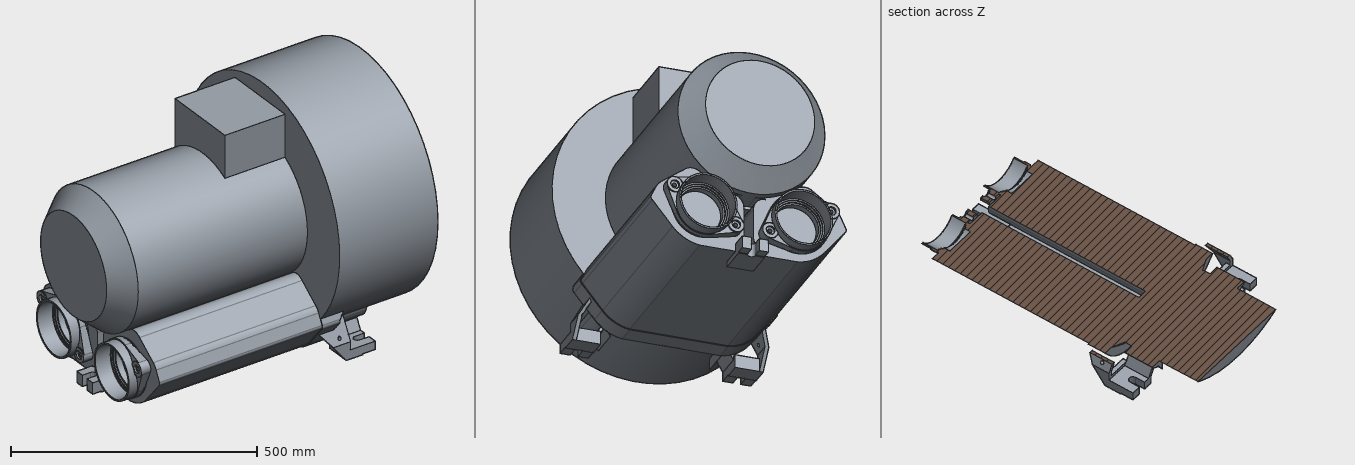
import cadquery as cq
import math


HOUSING_RADIUS = 275.0
HOUSING_DEPTH = 242.5
OVERALL_LENGTH = 709
OVERALL_HEIGHT = 576.0
MOTOR_RADIUS = 159.5
MOTOR_END_RADIUS = 118.5
MOTOR_TAPER_LENGTH = 49.5
MOTOR_LENGTH = OVERALL_LENGTH - HOUSING_DEPTH
FLOOR_Z = HOUSING_RADIUS - OVERALL_HEIGHT

BOX_WIDTH = 179.0
BOX_LENGTH = 148.0
BOX_TOP_Z = 239.5
BOX_CENTER_X = -10.0

SILENCER_LENGTH = 400.5
SILENCER_BOTTOM_Z = -288.5
SHOULDER_INNER = (-103.5, -123.0)
SHOULDER_CREST = (-122.0, -115.5)
SHOULDER_OUTER = (-140.5, -123.0)
CHEEK_UPPER = (-189.0, -158.0)
CHEEK_LOWER = (-200.0, -170)
TIP_UPPER = (-211.0, -194.0)
TIP_LOWER = (-209.0, -203.5)
BELLY_UPPER = (-165.0, -257.0)
BELLY_LOWER = (-106, SILENCER_BOTTOM_Z)

COLLAR_STEP = 2.0
COLLAR_TIP_DEPTH = 43.0
COLLAR_TIP_RADIUS = 289.0
COLLAR_DEPTH = 56.0

GAP_HALF_WIDTH = 10.5
GAP_CORNER_RADIUS = 26.0
GAP_TOP_Z = -159.0
GAP_BOTTOM_Z = -276.5
WEB_BOTTOM_Z = -166.0
WEB_SETBACK = 42.5
BRIDGE_TOP_Z = -274.0

PORT_X = -103.5
PORT_Z = -208.0
GASKET_RADIUS = 62.5
GASKET_THICKNESS = 4.0
FLANGE_RADIUS = 64.5
FLANGE_RIDGE_Y = -426.0
FLANGE_EDGE_Y = -417.5
RIDGE_HALF_WIDTH = 10.5
ROOF_HALF_WIDTH = 71
EAR_RADIUS = 17.0
EAR_FRONT_Y = -428.0
EAR_DISTANCE = 74.5
EAR_ANGLE = 27
SCREW_HOLE_RADIUS = 4.0
SCREW_RECESS_RADIUS = 9.0
SCREW_RECESS_DEPTH = 4.0
NOZZLE_RADIUS = 62.5
NOZZLE_FRONT_Y = -444.0
BORE_STEPS = [(59.0, -407.0), (55.0, -404), (52.0, -400.5), (48.0, -386.0)]

FOOT_TOP_Z = -271.5
SLOT_WIDTH = 17.0
SOLE_RELIEF = 2.0
FRONT_FOOT_WIDTH = 57
FRONT_FOOT_BACK_Y = -352.0
FRONT_FOOT_FRONT_Y = -439.0
FRONT_FOOT_SOLE_Y = -417.0
FRONT_SLOT_DEPTH = 28.5

PLATE_THICKNESS = 8.5
PLATE_LEAN = 0.55
PLATE_OUTER_X = -207.0
PLATE_BEND_Z = -259.5
PLATE_TOP_Z = -210.5
PLATE_BACK_Y = 74.0
PLATE_TOE_Y = 63.0
PLATE_NOSE_Y = 6.5
PLATE_NOSE_Z = -228.0
PLATE_HOLE_RADIUS = 3.5
PLATE_HOLE_Y = 51.0
PLATE_HOLE_Z = -247.5
REAR_FOOT_INNER_X = -146.0
REAR_FOOT_BACK_Y = 135
REAR_FOOT_SOLE_Y = 104.0
REAR_PAD_TOP_Z = -278.5
REAR_SLOT_DEPTH = 32.0
RIB_TOP_Z = -254.5

LUG_BACK_Y = 144.0
LUG_OUTER_X = -164.5
LUG_TOP_Z = -219.0
LUG_BEND_X = -160.0
LUG_BEND_Z = -231.0
LUG_ROUND_END_X = -133.0
LUG_BOTTOM_X = -120.5
LUG_BOTTOM_Z = -273.0


def box(x_min, x_max, y_min, y_max, z_min, z_max):
    return cq.Workplane("XY").box(
        x_max - x_min, y_max - y_min, z_max - z_min, centered=False
    ).translate((x_min, y_min, z_min))


def section(y):
    """Workplane across the Y axis; local axes are X and Z, and it extrudes toward -Y."""
    return cq.Workplane("XZ", origin=(0, y, 0))


def cylinder(x, z, radius, y_back, y_front):
    return section(y_back).center(x, z).circle(radius).extrude(y_back - y_front)


def both_sides(body):
    return body.union(body.mirror("YZ"))


def turned(points):
    """Solid of revolution about the Y axis from (radius, y) points."""
    return cq.Workplane("XY").polyline(points).close().revolve(360, (0, 0), (0, 1))


def housing_and_motor():
    return turned([
        (0, HOUSING_DEPTH),
        (HOUSING_RADIUS, HOUSING_DEPTH),
        (HOUSING_RADIUS, 0),
        (MOTOR_RADIUS, 0),
        (MOTOR_RADIUS, MOTOR_TAPER_LENGTH - MOTOR_LENGTH),
        (MOTOR_END_RADIUS, -MOTOR_LENGTH),
        (0, -MOTOR_LENGTH),
    ])


def terminal_box():
    left = BOX_CENTER_X - BOX_WIDTH / 2
    return box(left, left + BOX_WIDTH, -BOX_LENGTH, 0, 0, BOX_TOP_Z)


def silencer_outline(y):
    """Left half of the silencer section; its upper edge lies inside the motor."""
    return (
        section(y)
        .moveTo(0, SHOULDER_INNER[1])
        .lineTo(*SHOULDER_INNER)
        .threePointArc(SHOULDER_CREST, SHOULDER_OUTER)
        .lineTo(*CHEEK_UPPER)
        .tangentArcPoint(CHEEK_LOWER, relative=False)
        .lineTo(*TIP_UPPER)
        .tangentArcPoint(TIP_LOWER, relative=False)
        .lineTo(*BELLY_UPPER)
        .tangentArcPoint(BELLY_LOWER, relative=False)
        .lineTo(0, SILENCER_BOTTOM_Z)
        .close()
    )


def lobe_gap():
    """Gap between the lobes, flared by a quarter round at each lobe corner."""
    wide = GAP_HALF_WIDTH + GAP_CORNER_RADIUS
    upper = GAP_TOP_Z - GAP_CORNER_RADIUS
    lower = GAP_BOTTOM_Z + GAP_CORNER_RADIUS
    diagonal = GAP_CORNER_RADIUS * math.sqrt(0.5)
    mid_x = wide - diagonal
    return (
        section(0)
        .moveTo(-wide, GAP_TOP_Z)
        .lineTo(wide, GAP_TOP_Z)
        .threePointArc((mid_x, upper + diagonal), (GAP_HALF_WIDTH, upper))
        .lineTo(GAP_HALF_WIDTH, lower)
        .threePointArc((mid_x, lower - diagonal), (wide, GAP_BOTTOM_Z))
        .lineTo(-wide, GAP_BOTTOM_Z)
        .threePointArc((-mid_x, lower - diagonal), (-GAP_HALF_WIDTH, lower))
        .lineTo(-GAP_HALF_WIDTH, upper)
        .threePointArc((-mid_x, upper + diagonal), (-wide, GAP_TOP_Z))
        .close()
        .extrude(SILENCER_LENGTH)
    )


def silencer():
    body = both_sides(silencer_outline(0).extrude(SILENCER_LENGTH))
    wide = GAP_HALF_WIDTH + GAP_CORNER_RADIUS
    web = box(-wide, wide, WEB_SETBACK - SILENCER_LENGTH, 0, WEB_BOTTOM_Z, SHOULDER_INNER[1])
    bridge = box(-wide, wide, -SILENCER_LENGTH, 0, SILENCER_BOTTOM_Z, BRIDGE_TOP_Z)
    return body.cut(lobe_gap()).union(web).union(bridge)


def collar():
    """Slightly enlarged silencer outline behind the housing's front face, bevelled at the rear."""
    body = both_sides(silencer_outline(COLLAR_DEPTH).offset2D(COLLAR_STEP).extrude(COLLAR_DEPTH))
    reach = 2 * HOUSING_RADIUS
    envelope = turned([
        (0, 0),
        (reach, 0),
        (reach, COLLAR_TIP_DEPTH),
        (COLLAR_TIP_RADIUS, COLLAR_TIP_DEPTH),
        (HOUSING_RADIUS, COLLAR_DEPTH),
        (0, COLLAR_DEPTH),
    ])
    return body.intersect(envelope)


def flange_plate(y_back, y_front):
    """Round plate drawn out by tangent lines to an ear on either side."""
    lean = math.acos((FLANGE_RADIUS - EAR_RADIUS) / EAR_DISTANCE)
    cos_lean = math.cos(lean)
    sin_lean = math.sin(lean)
    disc_x = FLANGE_RADIUS * cos_lean
    disc_z = FLANGE_RADIUS * sin_lean
    ear_x = EAR_DISTANCE + EAR_RADIUS * cos_lean
    ear_z = EAR_RADIUS * sin_lean
    tip_x = EAR_DISTANCE + EAR_RADIUS
    return (
        section(y_back)
        .moveTo(disc_x, disc_z)
        .lineTo(ear_x, ear_z)
        .threePointArc((tip_x, 0), (ear_x, -ear_z))
        .lineTo(disc_x, -disc_z)
        .threePointArc((0, -FLANGE_RADIUS), (-disc_x, -disc_z))
        .lineTo(-ear_x, -ear_z)
        .threePointArc((-tip_x, 0), (-ear_x, ear_z))
        .lineTo(-disc_x, disc_z)
        .threePointArc((0, FLANGE_RADIUS), (disc_x, disc_z))
        .close()
        .extrude(y_back - y_front)
    )


def flange_roof(y_back):
    """Prism whose front falls away on both sides of the line through the ears."""
    reach = EAR_DISTANCE + EAR_RADIUS
    return (
        cq.Workplane("YZ", origin=(-reach, 0, 0))
        .moveTo(y_back, -ROOF_HALF_WIDTH)
        .lineTo(FLANGE_EDGE_Y, -ROOF_HALF_WIDTH)
        .lineTo(FLANGE_RIDGE_Y, -RIDGE_HALF_WIDTH)
        .lineTo(FLANGE_RIDGE_Y, RIDGE_HALF_WIDTH)
        .lineTo(FLANGE_EDGE_Y, ROOF_HALF_WIDTH)
        .lineTo(y_back, ROOF_HALF_WIDTH)
        .close()
        .extrude(2 * reach)
    )


def port():
    """One port, built about its own axis with its ears along X, then turned into place."""
    seat_y = -SILENCER_LENGTH
    plate_y = seat_y - GASKET_THICKNESS
    body = cylinder(0, 0, GASKET_RADIUS, seat_y, plate_y)
    body = body.union(flange_plate(plate_y, FLANGE_RIDGE_Y).intersect(flange_roof(plate_y)))
    body = body.union(cylinder(0, 0, NOZZLE_RADIUS, plate_y, NOZZLE_FRONT_Y))
    recess_y = EAR_FRONT_Y + SCREW_RECESS_DEPTH
    for x in (-EAR_DISTANCE, EAR_DISTANCE):
        body = body.union(cylinder(x, 0, EAR_RADIUS, plate_y, EAR_FRONT_Y))
        body = body.cut(cylinder(x, 0, SCREW_RECESS_RADIUS, recess_y, EAR_FRONT_Y))
        body = body.cut(cylinder(x, 0, SCREW_HOLE_RADIUS, plate_y, EAR_FRONT_Y))
    return body.rotate((0, 0, 0), (0, 1, 0), EAR_ANGLE).translate((PORT_X, 0, PORT_Z))


def port_bore():
    """Stepped cutter for a port, running through the nozzle into the silencer."""
    bore = cq.Workplane("XY")
    for radius, floor_y in BORE_STEPS:
        bore = bore.union(cylinder(PORT_X, PORT_Z, radius, floor_y, NOZZLE_FRONT_Y))
    return bore


def open_slot(x, y_open, y_center):
    """Cutter for a round-ended slot running from y_center out through the edge at y_open."""
    half = SLOT_WIDTH / 2
    y_min = min(y_open, y_center)
    y_max = max(y_open, y_center)
    straight = box(x - half, x + half, y_min, y_max, FLOOR_Z, FOOT_TOP_Z)
    end = cq.Workplane("XY", origin=(x, y_center, FLOOR_Z)).circle(half)
    return straight.union(end.extrude(FOOT_TOP_Z - FLOOR_Z))


def front_foot():
    half = FRONT_FOOT_WIDTH / 2
    foot = box(-half, half, FRONT_FOOT_FRONT_Y, FRONT_FOOT_BACK_Y, FLOOR_Z, FOOT_TOP_Z)
    relief = box(-half, half, FRONT_FOOT_FRONT_Y, FRONT_FOOT_SOLE_Y, FLOOR_Z, FLOOR_Z + SOLE_RELIEF)
    slot_center_y = FRONT_FOOT_FRONT_Y + FRONT_SLOT_DEPTH - SLOT_WIDTH / 2
    return foot.cut(relief).cut(open_slot(0, FRONT_FOOT_FRONT_Y, slot_center_y))


def side_plate():
    """Upright plate, bent inward above the foot, with a raked front edge."""
    lean_run = PLATE_LEAN * (PLATE_TOP_Z - PLATE_BEND_Z)
    plate = (
        section(PLATE_BACK_Y)
        .moveTo(PLATE_OUTER_X, FLOOR_Z)
        .lineTo(PLATE_OUTER_X, PLATE_BEND_Z)
        .lineTo(PLATE_OUTER_X + lean_run, PLATE_TOP_Z)
        .lineTo(PLATE_OUTER_X + lean_run + PLATE_THICKNESS, PLATE_TOP_Z)
        .lineTo(PLATE_OUTER_X + PLATE_THICKNESS, PLATE_BEND_Z)
        .lineTo(PLATE_OUTER_X + PLATE_THICKNESS, FLOOR_Z)
        .close()
        .extrude(PLATE_BACK_Y - PLATE_NOSE_Y)
    )
    side_outline = (
        cq.Workplane("YZ", origin=(PLATE_OUTER_X, 0, 0))
        .moveTo(PLATE_TOE_Y, FLOOR_Z)
        .lineTo(PLATE_NOSE_Y, PLATE_NOSE_Z)
        .lineTo(PLATE_NOSE_Y, PLATE_TOP_Z)
        .lineTo(PLATE_BACK_Y, PLATE_TOP_Z)
        .lineTo(PLATE_BACK_Y, FLOOR_Z)
        .close()
        .extrude(lean_run + PLATE_THICKNESS)
    )
    hole = cq.Workplane("YZ", origin=(PLATE_OUTER_X, PLATE_HOLE_Y, PLATE_HOLE_Z)).circle(PLATE_HOLE_RADIUS)
    return plate.intersect(side_outline).cut(hole.extrude(lean_run))


def rear_foot():
    front_wall = box(PLATE_OUTER_X, REAR_FOOT_INNER_X, PLATE_TOE_Y, PLATE_BACK_Y, FLOOR_Z, FOOT_TOP_Z)
    pad = box(PLATE_OUTER_X, REAR_FOOT_INNER_X, PLATE_TOE_Y, REAR_FOOT_BACK_Y, FLOOR_Z, REAR_PAD_TOP_Z)
    relief = box(
        PLATE_OUTER_X, REAR_FOOT_INNER_X,
        REAR_FOOT_SOLE_Y, REAR_FOOT_BACK_Y,
        FLOOR_Z, FLOOR_Z + SOLE_RELIEF,
    )
    slot_x = (PLATE_OUTER_X + REAR_FOOT_INNER_X) / 2
    slot = open_slot(slot_x, REAR_FOOT_BACK_Y, REAR_FOOT_BACK_Y - REAR_SLOT_DEPTH + SLOT_WIDTH / 2)
    pad = pad.cut(relief).cut(slot)
    rib_outer_x = REAR_FOOT_INNER_X - PLATE_THICKNESS
    rib_run = PLATE_LEAN * (RIB_TOP_Z - REAR_PAD_TOP_Z)
    rib = (
        section(REAR_FOOT_BACK_Y)
        .moveTo(rib_outer_x, REAR_PAD_TOP_Z)
        .lineTo(rib_outer_x + rib_run, RIB_TOP_Z)
        .lineTo(REAR_FOOT_INNER_X + rib_run, RIB_TOP_Z)
        .lineTo(REAR_FOOT_INNER_X, REAR_PAD_TOP_Z)
        .close()
        .extrude(REAR_FOOT_BACK_Y - PLATE_BACK_Y)
    )
    return pad.union(front_wall).union(rib).union(side_plate())


def housing_lug():
    return (
        section(LUG_BACK_Y)
        .moveTo(LUG_OUTER_X, LUG_TOP_Z)
        .lineTo(LUG_BEND_X, LUG_BEND_Z)
        .tangentArcPoint((LUG_ROUND_END_X, RIB_TOP_Z), relative=False)
        .lineTo(LUG_BOTTOM_X, LUG_BOTTOM_Z)
        .lineTo(LUG_BOTTOM_X, LUG_TOP_Z)
        .close()
        .extrude(LUG_BACK_Y - PLATE_BACK_Y)
    )


result = housing_and_motor()
for central in (terminal_box(), silencer(), collar(), front_foot()):
    result = result.union(central)
for side in (port(), rear_foot(), housing_lug()):
    result = result.union(both_sides(side))
result = result.cut(both_sides(port_bore()))